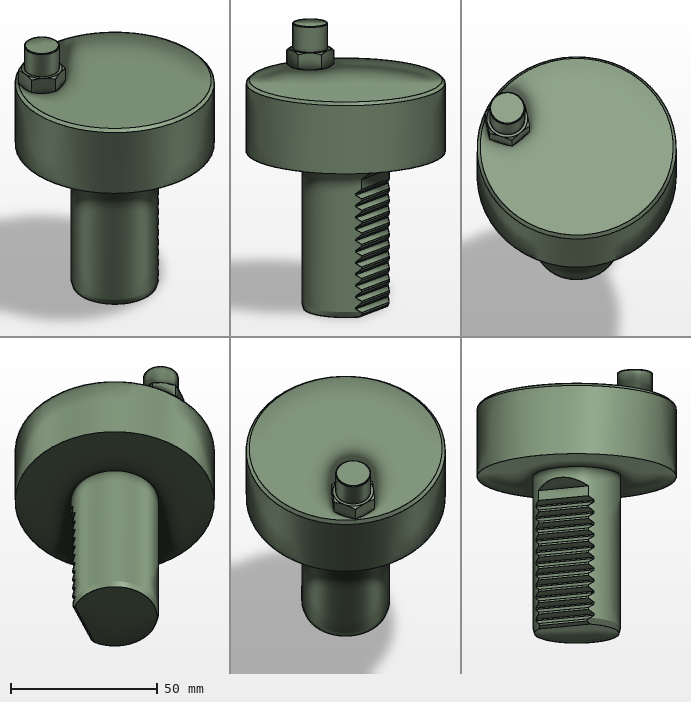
import cadquery as cq
import math

total_height = 95.0
shank_length = 55.0
shank_diameter = 30.0
shank_end_chamfer_height = 2.0
shank_end_chamfer_width = 0.6

flange_diameter = 68.0
flange_thickness = 25.0
flange_chamfer = 1.0

nut_across_flats = 14.0
nut_height = 6.0
nut_chamfer_angle = 30.0
pin_diameter = 12.0
pin_chamfer = 0.3
pin_circle_radius = 25.0
pin_direction = 240.0

flat_offset = 11.9
flat_top_gap = 6.65
flat_end_chamfer = 0.95
groove_count = 11
groove_pitch = 4.0
groove_depth = 1.4
groove_root_width = 0.5
lowest_groove_height = 3.3

shank_radius = shank_diameter / 2
flange_top = shank_length + flange_thickness
pin_x = pin_circle_radius * math.cos(math.radians(pin_direction))
pin_y = pin_circle_radius * math.sin(math.radians(pin_direction))


def make_shank():
    """Round shank with a slender taper at its free end."""
    end_radius = shank_radius - shank_end_chamfer_width
    return (
        cq.Workplane("XZ")
        .moveTo(0, 0)
        .lineTo(end_radius, 0)
        .lineTo(shank_radius, shank_end_chamfer_height)
        .lineTo(shank_radius, shank_length)
        .lineTo(0, shank_length)
        .close()
        .revolve(360, (0, 0, 0), (0, 1, 0))
    )


def extrude_across_shank(profile):
    """Extrude a closed YZ profile across the full shank width."""
    return profile.extrude(shank_radius, both=True)


def make_flat_cutter():
    """Flat with a 45 degree run-out at the top and a bevel at the bottom."""
    flat_top = shank_length - flat_top_gap
    runout = shank_radius - flat_offset
    return extrude_across_shank(
        cq.Workplane("YZ")
        .moveTo(shank_radius, 0)
        .lineTo(flat_offset - flat_end_chamfer, 0)
        .lineTo(flat_offset, flat_end_chamfer)
        .lineTo(flat_offset, flat_top)
        .lineTo(shank_radius, flat_top + runout)
        .close()
    )


def make_groove_cutter(height):
    """Straight groove with 45 degree flanks between two teeth."""
    half_root = groove_root_width / 2
    half_mouth = half_root + groove_depth
    root_offset = flat_offset - groove_depth
    return extrude_across_shank(
        cq.Workplane("YZ")
        .moveTo(flat_offset, height - half_mouth)
        .lineTo(root_offset, height - half_root)
        .lineTo(root_offset, height + half_root)
        .lineTo(flat_offset, height + half_mouth)
        .close()
    )


def make_flange():
    """Disc with its upper rim chamfered."""
    return (
        cq.Workplane("XY", origin=(0, 0, shank_length))
        .circle(flange_diameter / 2)
        .extrude(flange_thickness)
        .faces(">Z")
        .edges()
        .chamfer(flange_chamfer)
    )


def make_nut():
    """Hexagon with the corners turned off conically at both ends."""
    flat_radius = nut_across_flats / 2
    corner_radius = flat_radius / math.cos(math.pi / 6)
    bevel_height = (corner_radius - flat_radius) * math.tan(math.radians(nut_chamfer_angle))
    hexagon = cq.Workplane("XY").polygon(6, 2 * corner_radius).extrude(nut_height)
    turned_blank = (
        cq.Workplane("XZ")
        .moveTo(0, 0)
        .lineTo(flat_radius, 0)
        .lineTo(corner_radius, bevel_height)
        .lineTo(corner_radius, nut_height - bevel_height)
        .lineTo(flat_radius, nut_height)
        .lineTo(0, nut_height)
        .close()
        .revolve(360, (0, 0, 0), (0, 1, 0))
    )
    return hexagon.intersect(turned_blank).translate((pin_x, pin_y, flange_top))


def make_pin():
    """Plain pin rising through the nut, with a chamfered tip."""
    return (
        cq.Workplane("XY", origin=(pin_x, pin_y, flange_top))
        .circle(pin_diameter / 2)
        .extrude(total_height - flange_top)
        .faces(">Z")
        .edges()
        .chamfer(pin_chamfer)
    )


shank = make_shank().cut(make_flat_cutter())
for groove_index in range(groove_count):
    groove_height = lowest_groove_height + groove_index * groove_pitch
    shank = shank.cut(make_groove_cutter(groove_height))

result = shank.union(make_flange()).union(make_nut()).union(make_pin())